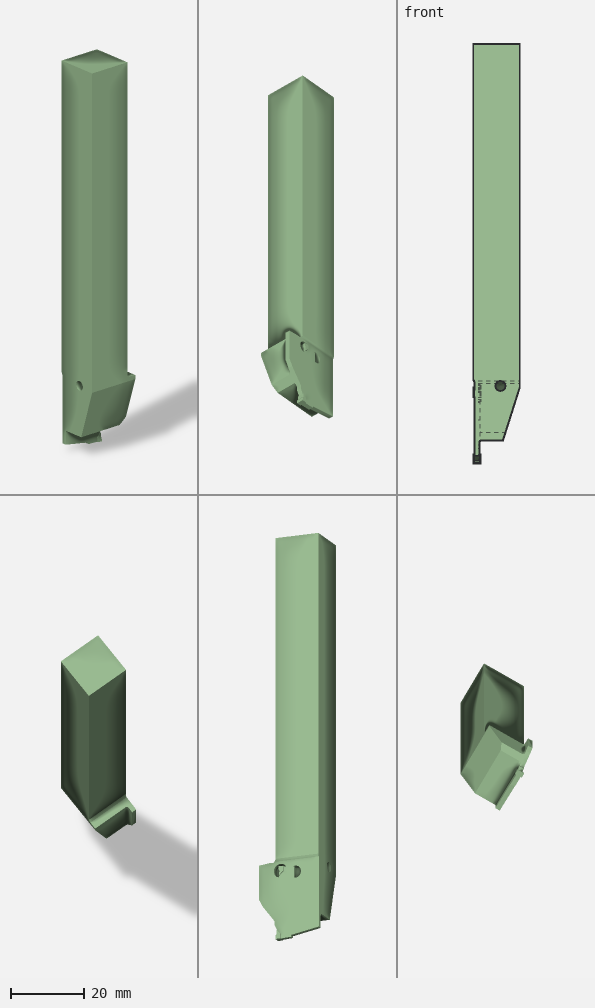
import cadquery as cq
import math

shank = 12.7
length = 114.3
blade_left = 0.3
blade_right = 1.7
blade_back = 17.7
step_low, step_high = 22.2, 22.9

block_back = 15.5
block_bottom = 6.3
taper_foot = 8.1
taper_top = 20.7
root_radius = 0.6

shoulder_height = 22.0
shoulder_back = 14.9
shoulder_chamfer = 0.7
blade_top = 21.6

blade_front_bottom = 2.2
blade_seat_y, blade_seat_z = 9.1, 0.6
jaw_tip_y, jaw_tip_z = 12.9, 5.0
jaw_bend_y, jaw_bend_z = 16.6, 9.8
blade_back_bottom = 12.0

coolant_x, coolant_z = 7.4, 21.1
coolant_diameter = 2.7
coolant_depth = 5.7
drill_point_angle = 118.0

tip_relief = (11.3, 19.4, 2.0)
heel_relief = (7.0, 18.6, 1.7)

insert_lean = math.radians(2.8)
insert_length = 20.8
insert_depth = 4.5
end_relief = 0.5
rib_height = 0.6
cutting_width = 2.1
land_end, chip_start, chip_end, rib_start = 1.0, 1.4, 2.6, 4.1
chip_depth = 0.2
head_depth = 1.4
head_side_length = 1.5


def insert_point(along, below):
    """(Y, Z) of a point at a distance along the insert and below the line through its tips."""
    y = shank - along * math.sin(insert_lean) - below * math.cos(insert_lean)
    z = along * math.cos(insert_lean) - below * math.sin(insert_lean)
    return (y, z)


def side_prism(points, x_start, x_end):
    """Prism along X with an outline of (Y, Z) points."""
    return cq.Workplane("YZ", origin=(x_start, 0, 0)).polyline(points).close().extrude(x_end - x_start)


def insert_body():
    """Long middle part of the insert, as thick as the blade."""
    lower_end = [
        (end_relief, insert_depth),
        (0, 0),
        (land_end, 0),
        (chip_start, chip_depth),
        (chip_end, chip_depth),
        (rib_start, -rib_height),
    ]
    upper_end = [(insert_length - along, below) for along, below in reversed(lower_end)]
    outline = [insert_point(*point) for point in lower_end + upper_end]
    return side_prism(outline, blade_left, blade_right)


def cutting_head(upper):
    """Wider cutting head at one end of the insert."""
    corners = [
        (0, 0),
        (land_end, 0),
        (chip_start, chip_depth),
        (chip_end, chip_depth),
        (head_side_length, head_depth),
        (end_relief * head_depth / insert_depth, head_depth),
    ]
    if upper:
        corners = [(insert_length - along, below) for along, below in corners]
    return side_prism([insert_point(*corner) for corner in corners], 0, cutting_width)


def make_insert():
    return insert_body().union(cutting_head(False)).union(cutting_head(True))


def holder_blank():
    """The side outline and the front outline, each extruded, and what they share."""
    side = side_prism(
        [
            (0, length),
            (0, blade_front_bottom),
            (blade_seat_y, blade_seat_z),
            (jaw_tip_y, jaw_tip_z),
            (jaw_bend_y, jaw_bend_z),
            (blade_back, blade_back_bottom),
            (blade_back, blade_top),
            (shoulder_back, shoulder_height),
            (shank + shoulder_chamfer, shoulder_height),
            (shank, shoulder_height + shoulder_chamfer),
            (shank, length),
        ],
        0,
        shank,
    )
    front = (
        cq.Workplane("XZ")
        .moveTo(0, length)
        .lineTo(shank, length)
        .lineTo(shank, taper_top)
        .lineTo(taper_foot, block_bottom)
        .lineTo(blade_right + root_radius, block_bottom)
        .radiusArc((blade_right, block_bottom - root_radius), -root_radius)
        .lineTo(blade_right, 0)
        .lineTo(blade_left, 0)
        .lineTo(blade_left, step_low)
        .lineTo(0, step_high)
        .close()
        .extrude(-blade_back)
    )
    return side.intersect(front)


def space_behind_block():
    """Space to the right of the blade and behind the block, with a rounded inner edge."""
    return (
        cq.Workplane("XY")
        .moveTo(blade_right, blade_back)
        .lineTo(blade_right, block_back + root_radius)
        .radiusArc((blade_right + root_radius, block_back), -root_radius)
        .lineTo(shank, block_back)
        .lineTo(shank, blade_back)
        .close()
        .extrude(length)
    )


def relief_hole(y, z, radius):
    return cq.Workplane("YZ").center(y, z).circle(radius).extrude(cutting_width)


def coolant_hole():
    """Blind hole along Y with a drill point."""
    radius = coolant_diameter / 2
    point_length = radius / math.tan(math.radians(drill_point_angle / 2))
    return (
        cq.Workplane("XY", origin=(coolant_x, 0, coolant_z))
        .polyline([(0, 0), (radius, 0), (radius, coolant_depth), (0, coolant_depth + point_length)])
        .close()
        .revolve(360, (0, 0, 0), (0, 1, 0))
    )


def make_holder():
    holder = holder_blank().cut(space_behind_block()).cut(insert_body())
    for relief in (tip_relief, heel_relief):
        holder = holder.cut(relief_hole(*relief))
    return holder.cut(coolant_hole())


holder = make_holder()
insert = make_insert()
result = cq.Compound.makeCompound([holder.val(), insert.val()])